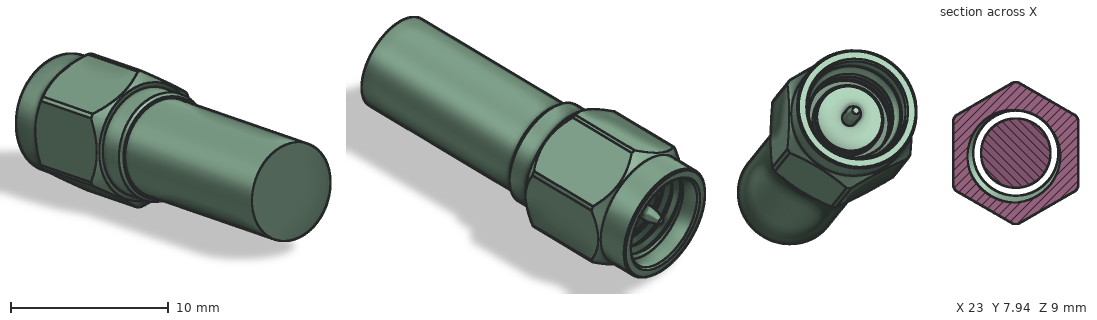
import cadquery as cq
import math

total_length = 23.0

collar_length = 2.05
collar_radius = 3.87
collar_chamfer = 0.1
hex_end = 8.47
hex_width = 7.94
hex_corner_radius = 4.498
hex_chamfer_length = 0.7
hex_chamfer_depth = hex_corner_radius - collar_radius

mouth_chamfer = 0.14
clearance_radius = 3.15
clearance_end = 1.31
crest_radius = 2.7
lead_in_end = clearance_end + clearance_radius - crest_radius
seat = 3.45

thread_pitch = 0.71
thread_root_radius = 3.13
thread_root_flat = 0.12
thread_start = 0.97
thread_overrun = 0.05

boss_start = 2.53
boss_radius = 2.2
boss_chamfer = 0.12
neck_radius = 3.57
neck_chamfer = 0.2
neck_end = 10.29
tube_radius = 3.22

pin_start = 0.37
pin_radius = 0.48
pin_tip_radius = 0.23
pin_taper_length = 0.85


def revolve_about_x(points):
    """Turn a closed (X, radius) outline about the X axis."""
    return cq.Workplane("XY").polyline(points).close().revolve(360, (0, 0, 0), (1, 0, 0))


def make_collar():
    return revolve_about_x([
        (0, 0),
        (0, collar_radius - collar_chamfer),
        (collar_chamfer, collar_radius),
        (collar_length, collar_radius),
        (collar_length, 0),
    ])


def make_hexagon():
    """Hexagon with corners up and down, its corners turned and its ends coned."""
    across_corners = hex_width / math.cos(math.pi / 6)
    prism = (
        cq.Workplane("YZ", origin=(collar_length, 0, 0))
        .transformed(rotate=(0, 0, 90))
        .polygon(6, across_corners)
        .extrude(hex_end - collar_length)
    )
    envelope = revolve_about_x([
        (collar_length, 0),
        (collar_length, hex_corner_radius - hex_chamfer_depth),
        (collar_length + hex_chamfer_length, hex_corner_radius),
        (hex_end - hex_chamfer_length, hex_corner_radius),
        (hex_end, hex_corner_radius - hex_chamfer_depth),
        (hex_end, 0),
    ])
    return prism.intersect(envelope)


def make_thread_groove():
    """Helical V groove that widens toward the axis, ended square at the seat."""
    inner_radius = crest_radius - thread_overrun
    root_half_width = thread_root_flat / 2
    mouth_half_width = root_half_width + (thread_root_radius - inner_radius) * math.tan(math.pi / 6)
    helix = cq.Wire.makeHelix(thread_pitch, seat + thread_pitch - thread_start, inner_radius)
    groove = (
        cq.Workplane("XZ")
        .polyline([
            (inner_radius, -mouth_half_width),
            (thread_root_radius, -root_half_width),
            (thread_root_radius, root_half_width),
            (inner_radius, mouth_half_width),
        ])
        .close()
        .sweep(cq.Workplane(obj=helix), isFrenet=True)
        .rotate((0, 0, 0), (0, 1, 0), 90)
        .translate((thread_start, 0, 0))
    )
    nut_space = cq.Workplane("YZ").circle(collar_radius).extrude(seat)
    return groove.intersect(nut_space)


def make_nut():
    bore = revolve_about_x([
        (0, 0),
        (0, clearance_radius + mouth_chamfer),
        (mouth_chamfer, clearance_radius),
        (clearance_end, clearance_radius),
        (lead_in_end, crest_radius),
        (hex_end, crest_radius),
        (hex_end, 0),
    ])
    return make_collar().union(make_hexagon()).cut(bore).cut(make_thread_groove())


def make_body():
    """Pin, boss, shank filling the nut, neck and tube in one turned piece."""
    return revolve_about_x([
        (pin_start, 0),
        (pin_start, pin_tip_radius),
        (pin_start + pin_taper_length, pin_radius),
        (boss_start, pin_radius),
        (boss_start, boss_radius - boss_chamfer),
        (boss_start + boss_chamfer, boss_radius),
        (seat, boss_radius),
        (seat, crest_radius),
        (hex_end, crest_radius),
        (hex_end, neck_radius),
        (neck_end - neck_chamfer, neck_radius),
        (neck_end, neck_radius - neck_chamfer),
        (neck_end, tube_radius),
        (total_length, tube_radius),
        (total_length, 0),
    ])


nut = make_nut()
body = make_body()

result = cq.Compound.makeCompound([nut.val(), body.val()])